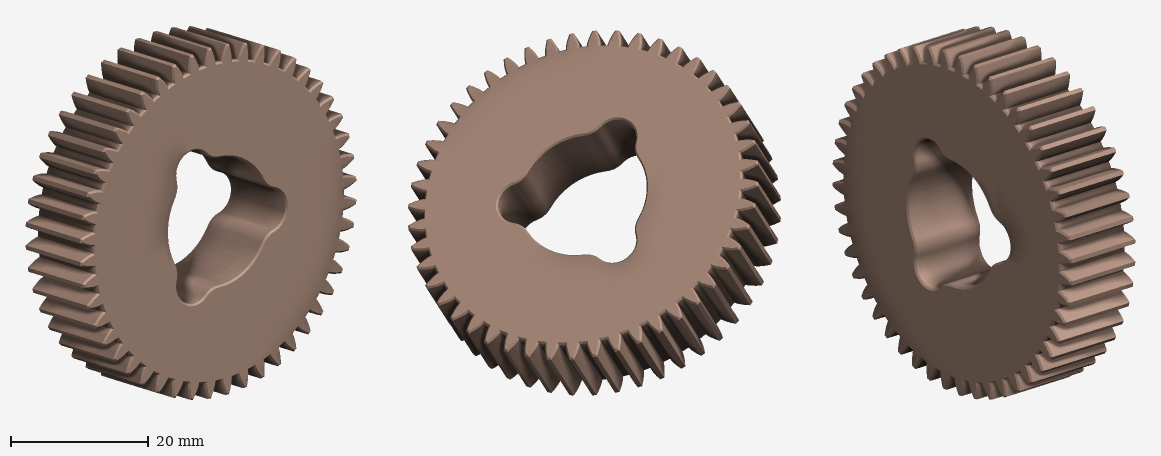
import cadquery as cq
import math

face_width = 12.7
outer_size = 52.85
teeth = 48
pitch_radius = 25.4
root_radius = 24.05
pressure_angle = math.radians(20)
tooth_thinning = 0.15
flank_steps = 4
edge_chamfer = 0.25

lobes = 3
bore_radius = 9.6
lobe_radius = 3.2
lobe_offset = bore_radius
blend_radius = 3.5

base_radius = pitch_radius * math.cos(pressure_angle)
pitch_angle = 2 * math.pi / teeth


def polar(radius, angle):
    """Point in the gear plane at a radius and an angle."""
    return radius * math.cos(angle), radius * math.sin(angle)


def involute(radius):
    """Polar angle swept by the base-circle involute when it reaches a radius."""
    roll = math.acos(base_radius / radius)
    return math.tan(roll) - roll


def half_tooth_angle(radius):
    """Half the angle a tooth fills at a radius; at the pitch circle it is thinned from half the pitch."""
    half_angle_at_pitch = pitch_angle / 4 - tooth_thinning / 2 / pitch_radius
    return half_angle_at_pitch + involute(pitch_radius) - involute(radius)


tip_corner_angle = pitch_angle / 2 - half_tooth_angle(outer_size / 2)
tip_radius = outer_size / 2 / math.cos(tip_corner_angle)


def gear_outline():
    """Closed outline of involute teeth, with a gap centred on each axis."""
    radii = [root_radius + (tip_radius - root_radius) * i / flank_steps for i in range(flank_steps + 1)]
    first_center = pitch_angle / 2
    start = polar(root_radius, first_center - half_tooth_angle(root_radius))
    outline = cq.Workplane("YZ", origin=(-face_width / 2, 0, 0)).moveTo(*start)
    for tooth in range(teeth):
        center = first_center + tooth * pitch_angle
        rising = [polar(r, center - half_tooth_angle(r)) for r in radii]
        falling = [polar(r, center + half_tooth_angle(r)) for r in reversed(radii)]
        next_root = polar(root_radius, center + pitch_angle - half_tooth_angle(root_radius))
        outline = outline.spline(rising[1:], includeCurrent=True)
        outline = outline.threePointArc(polar(tip_radius, center), falling[0])
        outline = outline.spline(falling[1:], includeCurrent=True)
        outline = outline.threePointArc(polar(root_radius, center + pitch_angle / 2), next_root)
    return outline.close()


def bore_outline():
    """Closed outline of the round bore with round lobes, joined by tangent blend arcs."""
    blend_offset = bore_radius + blend_radius
    lobe_to_blend = lobe_radius + blend_radius
    blend_angle = math.acos(
        (blend_offset**2 + lobe_offset**2 - lobe_to_blend**2) / (2 * blend_offset * lobe_offset)
    )
    lobe_pitch = 2 * math.pi / lobes

    def lobe_points(center_angle, side):
        """Bore tangent point, blend midpoint and lobe tangent point on one side of a lobe."""
        angle = center_angle + side * blend_angle
        lobe_center = cq.Vector(*polar(lobe_offset, center_angle))
        blend_center = cq.Vector(*polar(blend_offset, angle))
        on_bore = cq.Vector(*polar(bore_radius, angle))
        on_lobe = lobe_center + (blend_center - lobe_center).normalized() * lobe_radius
        toward_opening = ((on_bore + on_lobe) / 2 - blend_center).normalized()
        blend_middle = blend_center + toward_opening * blend_radius
        return [(p.x, p.y) for p in (on_bore, blend_middle, on_lobe)]

    outline = cq.Workplane("YZ", origin=(-face_width / 2, 0, 0)).moveTo(*lobe_points(0, -1)[0])
    for lobe in range(lobes):
        center_angle = lobe * lobe_pitch
        _, entry_middle, entry_end = lobe_points(center_angle, -1)
        exit_end, exit_middle, exit_start = lobe_points(center_angle, 1)
        next_lobe = lobe_points(center_angle + lobe_pitch, -1)[0]
        outline = outline.threePointArc(entry_middle, entry_end)
        outline = outline.threePointArc(polar(lobe_offset + lobe_radius, center_angle), exit_start)
        outline = outline.threePointArc(exit_middle, exit_end)
        outline = outline.threePointArc(polar(bore_radius, center_angle + lobe_pitch / 2), next_lobe)
    return outline.close()


gear = gear_outline().extrude(face_width)
bore = bore_outline().extrude(face_width)

result = gear.cut(bore).faces("<X or >X").edges().chamfer(edge_chamfer)